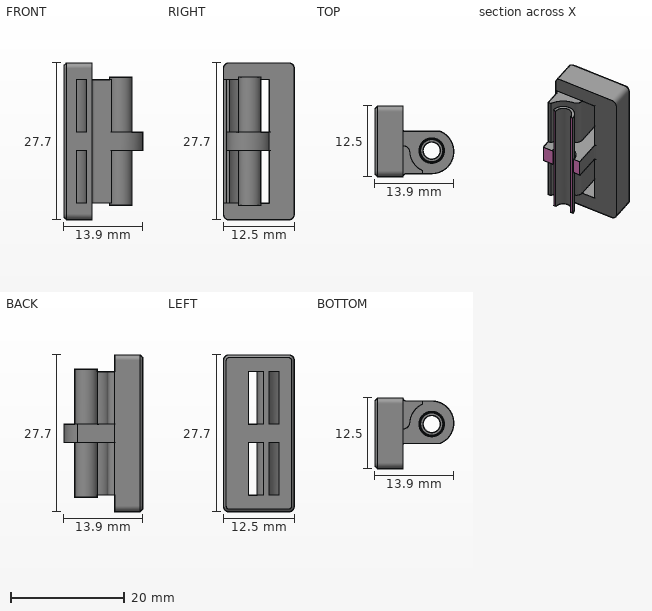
import cadquery as cq
import math

plate_thickness = 4.99
plate_width = 12.5
plate_height = 27.7
plate_corner_radius = 1.0
plate_chamfer = 0.5
plate_bottom_y = -plate_width / 2

pin_x = 10.03
pin_y = -1.63
pin_diameter = 4.0
pin_bore = 3.0
pin_length = 22.6

lug_height = 3.25
lug_top_y = 1.8
overall_length = 13.93
lug_radius = overall_length - pin_x
lug_inset = 0.53
lug_bottom_y = plate_bottom_y + lug_inset
lug_hole = 4.1
lug_hole_chamfer = 0.2
lug_root_radius = 0.22

rib_height = 21.77
rib_end_x = 8.4
rib_root_radius = lug_inset
rib_crest_y = -0.78
clearance_radius = 3.88

opening_height = (rib_height - lug_height) / 2
opening_z = (rib_height + lug_height) / 4
channel_inner_radius = 2.77
channel_outer_radius = 4.5
channel_center_x = -0.5


def centered_prism(outline, height, z=0.0):
    """Extrude a closed X-Y outline along Z, centred at height z."""
    return outline.extrude(height).translate((0, 0, z - height / 2))


def make_plate():
    """Plate with rounded corners and a chamfer around its outer face."""
    block = cq.Workplane("XY").box(plate_thickness, plate_width, plate_height, centered=(False, True, True))
    return block.edges("|X").fillet(plate_corner_radius).faces("<X").chamfer(plate_chamfer)


def make_lug():
    """Rounded lug, flat on both sides, whose rounded end is tangent to its lower side."""
    end_center_y = lug_bottom_y + lug_radius
    corner_x = pin_x + math.sqrt(lug_radius**2 - (lug_top_y - end_center_y) ** 2)
    outline = (
        cq.Workplane("XY")
        .moveTo(plate_thickness, lug_bottom_y)
        .lineTo(pin_x, lug_bottom_y)
        .threePointArc((pin_x + lug_radius, end_center_y), (corner_x, lug_top_y))
        .lineTo(plate_thickness + lug_root_radius, lug_top_y)
        .radiusArc((plate_thickness, lug_top_y + lug_root_radius), lug_root_radius)
        .close()
    )
    return centered_prism(outline, lug_height)


def make_rib():
    """Rib whose inner side is an arc around the pin, blended into the plate by a rounded crest."""
    face_to_pin = pin_x - plate_thickness
    crest_rise = rib_crest_y - pin_y
    blend_radius = (face_to_pin**2 + crest_rise**2 - clearance_radius**2) / (2 * (clearance_radius + crest_rise))
    blend_center_y = rib_crest_y - blend_radius
    touch_share = blend_radius / (clearance_radius + blend_radius)
    touch_x = plate_thickness + touch_share * face_to_pin
    touch_y = blend_center_y + touch_share * (pin_y - blend_center_y)
    tip_y = pin_y - math.sqrt(clearance_radius**2 - (pin_x - rib_end_x) ** 2)
    outline = (
        cq.Workplane("XY")
        .moveTo(plate_thickness, rib_crest_y)
        .radiusArc((touch_x, touch_y), blend_radius)
        .radiusArc((rib_end_x, tip_y), -clearance_radius)
        .lineTo(rib_end_x, lug_bottom_y)
        .lineTo(plate_thickness + rib_root_radius, lug_bottom_y)
        .radiusArc((plate_thickness, lug_bottom_y - rib_root_radius), -rib_root_radius)
        .close()
    )
    return centered_prism(outline, rib_height)


def make_straight_slot(z):
    """Slot straight through the plate, from the rib crest to the lug's upper side."""
    outline = (
        cq.Workplane("XY")
        .moveTo(0, rib_crest_y)
        .lineTo(plate_thickness, rib_crest_y)
        .lineTo(plate_thickness, lug_top_y)
        .lineTo(0, lug_top_y)
        .close()
    )
    return centered_prism(outline, opening_height, z)


def make_curved_channel(z):
    """Ring-shaped channel turning from the plate's outer face to its -Y side."""
    rings = (
        cq.Workplane("XY")
        .center(channel_center_x, plate_bottom_y)
        .circle(channel_outer_radius)
        .circle(channel_inner_radius)
    )
    return centered_prism(rings, opening_height, z)


def make_lug_hole():
    """Hole for the pin, with a chamfer at both ends."""
    hole = centered_prism(cq.Workplane("XY").center(pin_x, pin_y).circle(lug_hole / 2), lug_height)
    for end in (-1, 1):
        countersink = cq.Solid.makeCone(
            lug_hole / 2 + lug_hole_chamfer,
            lug_hole / 2,
            lug_hole_chamfer,
            pnt=cq.Vector(pin_x, pin_y, end * lug_height / 2),
            dir=cq.Vector(0, 0, -end),
        )
        hole = hole.union(cq.Workplane(countersink))
    return hole


def make_housing():
    housing = make_plate().union(make_lug()).union(make_rib())
    for side in (-1, 1):
        housing = housing.cut(make_straight_slot(side * opening_z))
        housing = housing.cut(make_curved_channel(side * opening_z))
    return housing.cut(make_lug_hole())


def make_pin():
    outline = cq.Workplane("XY").center(pin_x, pin_y).circle(pin_diameter / 2).circle(pin_bore / 2)
    return centered_prism(outline, pin_length)


housing = make_housing()
pin = make_pin()
result = cq.Compound.makeCompound([housing.val(), pin.val()])